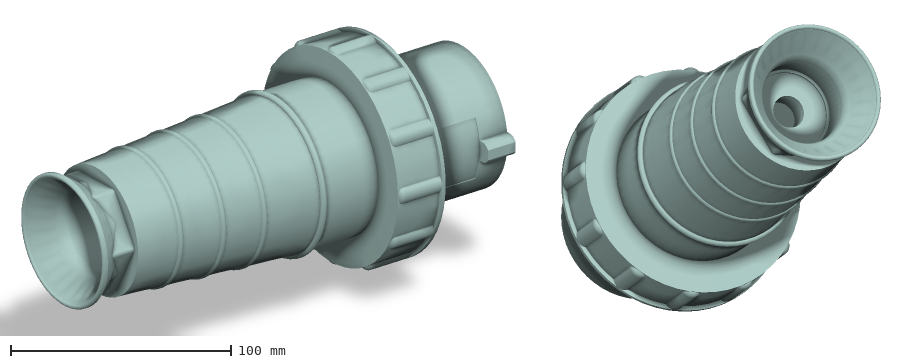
import cadquery as cq
import math


TOTAL_LENGTH = 224.75
HANDLE_START = 19.75
TAPER_END = 119.0
RING_START = 149.75
RING_LENGTH = 26.0
RING_END = RING_START + RING_LENGTH

SLEEVE_RADIUS = 35.0
KEY_LENGTH = 15.5
KEY_TIP_REACH = 41.25
KEY_ROUND_CENTER = 36.9
KEY_ROUND_RADIUS = 5.0
RELIEF_DEPTH = 0.5
RELIEF_HALF_WIDTH = 15.4

RING_RADIUS = 109.0 / 2
RING_BODY_RADIUS = 52.5
RING_FLANGE = 2.0
RIB_COUNT = 12
RIB_RADIUS = 5.0
RING_FACE_RISE = 0.7
RIB_END_GAP = 1.0
RIB_END_FILLET = 2.5

HANDLE_RADIUS = 75.85 / 2
HANDLE_END_RADIUS = 63.0 / 2
BEAD_POSITIONS = (42.75, 65.75, 87.75)
BEAD_HALF_WIDTH = 1.4
BEAD_HEIGHT = 0.75

BAND_SECTION_RADIUS = 1.7
BAND_RADIUS = 38.05

HEX_SIDES = 6
HEX_ACROSS_FLATS = 50.0
HEX_CORNER_FILLET = 2.0
SHANK_RADIUS = 49.0 / 2
SHANK_END = 45.0
HEX_TURN = -2.7
RIM_RADIUS = 64.25 / 2
RIM_LENGTH = 2.4
FLARE_ANGLE = 35.0
FLARE_CONE_TOP = 10.5
LIP_ROUND_RADIUS = 1.1
MOUTH_RADIUS = RIM_RADIUS - 2 * LIP_ROUND_RADIUS
THROAT_CONE_RADIUS = 21.1
THROAT_CONE_END = 13.2

SEAL_START = 32.5
SEAL_RADIUS = 39.3 / 2
SEAL_LIP_RADIUS = 36.6 / 2
SEAL_LIP_LENGTH = 1.0
SEAL_HOLE_RADIUS = 15.0 / 2


def turned(profile):
    """Solid of revolution about Y from a closed (radius, y) profile."""
    return profile.close().revolve(360, (0, 0, 0), (0, 1, 0))


def cylinder(radius, start, end):
    """Cylinder on the Y axis between two axial positions."""
    return cq.Workplane("XZ", origin=(0, start, 0)).circle(radius).extrude(start - end)


def make_sleeve():
    """Round plug sleeve with a rounded, flat-tipped key and a shallow relief behind the key."""
    sleeve = cylinder(SLEEVE_RADIUS, RING_END, TOTAL_LENGTH)
    key_start = TOTAL_LENGTH - KEY_LENGTH
    key_side = cq.Workplane("XY").box(
        SLEEVE_RADIUS, TOTAL_LENGTH, 2 * RELIEF_HALF_WIDTH, centered=(False, False, True)
    )
    relief = (
        cylinder(SLEEVE_RADIUS, RING_END, key_start)
        .cut(cylinder(SLEEVE_RADIUS - RELIEF_DEPTH, RING_END, key_start))
        .intersect(key_side)
    )
    key = (
        cq.Workplane("XY", origin=(0, key_start, 0))
        .box(KEY_ROUND_CENTER, KEY_LENGTH, 2 * KEY_ROUND_RADIUS, centered=(False, False, True))
    )
    key_round = (
        cq.Workplane("XZ", origin=(KEY_ROUND_CENTER, key_start, 0))
        .circle(KEY_ROUND_RADIUS)
        .extrude(-KEY_LENGTH)
    )
    key_limit = (
        cq.Workplane("XY", origin=(0, key_start, 0))
        .box(KEY_TIP_REACH, KEY_LENGTH, 2 * KEY_ROUND_RADIUS, centered=(False, False, True))
    )
    key = key.union(key_round).intersect(key_limit)
    return sleeve.cut(relief).union(key)


def make_ring():
    """Coupling ring: slightly coned face, flange at the sleeve end and grip ribs with rounded ends."""
    ring = turned(
        cq.Workplane("XY")
        .moveTo(HANDLE_RADIUS, RING_START)
        .lineTo(RING_BODY_RADIUS, RING_START + RING_FACE_RISE)
        .lineTo(RING_BODY_RADIUS, RING_END)
        .lineTo(HANDLE_RADIUS, RING_END)
    )
    ring = ring.union(cylinder(RING_RADIUS, RING_END - RING_FLANGE, RING_END))
    rib_start = RING_START + RIB_END_GAP
    rib = (
        cq.Workplane("XZ", origin=(RING_RADIUS - RIB_RADIUS, rib_start, 0))
        .circle(RIB_RADIUS)
        .extrude(rib_start - RING_END)
        .faces("<Y")
        .edges()
        .fillet(RIB_END_FILLET)
    )
    for i in range(RIB_COUNT):
        ring = ring.union(rib.rotate((0, 0, 0), (0, 1, 0), i * 360 / RIB_COUNT))
    return ring.cut(cylinder(HANDLE_RADIUS, RING_START, RING_END))


def taper_radius(y):
    """Radius of the handle taper at an axial position."""
    share = (y - HANDLE_START) / (TAPER_END - HANDLE_START)
    return HANDLE_END_RADIUS + share * (HANDLE_RADIUS - HANDLE_END_RADIUS)


def make_handle():
    """Handle: straight barrel, then a taper with raised round beads."""
    profile = cq.Workplane("XY").moveTo(0, HANDLE_START).lineTo(HANDLE_END_RADIUS, HANDLE_START)
    for y in BEAD_POSITIONS:
        low, high = y - BEAD_HALF_WIDTH, y + BEAD_HALF_WIDTH
        profile = profile.lineTo(taper_radius(low), low).threePointArc(
            (taper_radius(y) + BEAD_HEIGHT, y), (taper_radius(high), high))
    profile = (
        profile.lineTo(HANDLE_RADIUS, TAPER_END)
        .lineTo(HANDLE_RADIUS, RING_END)
        .lineTo(0, RING_END)
    )
    return turned(profile)


def make_band():
    """Round-section band around the handle."""
    return (
        cq.Workplane("XY")
        .center(BAND_RADIUS, TAPER_END)
        .circle(BAND_SECTION_RADIUS)
        .revolve(360, (-BAND_RADIUS, 0, 0), (-BAND_RADIUS, 1, 0))
    )


def make_nut():
    """Hexagonal gland nut with a flared funnel mouth and a shank that enters the handle."""
    hexagon = (
        cq.Workplane("XZ", origin=(0, RIM_LENGTH, 0))
        .polygon(HEX_SIDES, HEX_ACROSS_FLATS / math.cos(math.pi / HEX_SIDES))
        .extrude(RIM_LENGTH - HANDLE_START)
        .edges("|Y")
        .fillet(HEX_CORNER_FILLET)
        .rotate((0, 0, 0), (0, 1, 0), HEX_TURN)
    )
    slope = math.radians(FLARE_ANGLE)
    cone_top_radius = RIM_RADIUS - (FLARE_CONE_TOP - RIM_LENGTH) * math.tan(slope)
    blend_end_radius = HEX_ACROSS_FLATS / 2
    blend_radius = (cone_top_radius - blend_end_radius) / (1 - math.cos(slope))
    blend_end = FLARE_CONE_TOP + blend_radius * math.sin(slope)
    blend_middle = (
        blend_end_radius + blend_radius * (1 - math.cos(slope / 2)),
        blend_end - blend_radius * math.sin(slope / 2),
    )
    throat_rise = math.atan((MOUTH_RADIUS - THROAT_CONE_RADIUS) / (THROAT_CONE_END - LIP_ROUND_RADIUS))
    throat_blend_radius = (THROAT_CONE_RADIUS - SEAL_RADIUS) / (1 - math.cos(throat_rise))
    throat_end = THROAT_CONE_END + throat_blend_radius * math.sin(throat_rise)
    throat_middle = (
        SEAL_RADIUS + throat_blend_radius * (1 - math.cos(throat_rise / 2)),
        throat_end - throat_blend_radius * math.sin(throat_rise / 2),
    )
    flare = turned(
        cq.Workplane("XY")
        .moveTo(0, LIP_ROUND_RADIUS)
        .lineTo(MOUTH_RADIUS, LIP_ROUND_RADIUS)
        .threePointArc((MOUTH_RADIUS + LIP_ROUND_RADIUS, 0), (RIM_RADIUS, LIP_ROUND_RADIUS))
        .lineTo(RIM_RADIUS, RIM_LENGTH)
        .lineTo(cone_top_radius, FLARE_CONE_TOP)
        .threePointArc(blend_middle, (blend_end_radius, blend_end))
        .lineTo(0, blend_end)
    )
    bore = turned(
        cq.Workplane("XY")
        .lineTo(MOUTH_RADIUS, 0)
        .lineTo(MOUTH_RADIUS, LIP_ROUND_RADIUS)
        .lineTo(THROAT_CONE_RADIUS, THROAT_CONE_END)
        .threePointArc(throat_middle, (SEAL_RADIUS, throat_end))
        .lineTo(SEAL_RADIUS, SHANK_END)
        .lineTo(0, SHANK_END)
    )
    shank = cylinder(SHANK_RADIUS, HANDLE_START, SHANK_END)
    return hexagon.union(flare).union(shank).cut(bore)


def make_seal():
    """Cable seal with a raised lip around its face and a cable hole through it."""
    seal = cylinder(SEAL_RADIUS, SEAL_START, SHANK_END)
    seal = seal.cut(cylinder(SEAL_LIP_RADIUS, SEAL_START, SEAL_START + SEAL_LIP_LENGTH))
    return seal.cut(cylinder(SEAL_HOLE_RADIUS, SEAL_START, SHANK_END))


sleeve = make_sleeve()
ring = make_ring()
band = make_band()
handle = make_handle().cut(band).cut(cylinder(SHANK_RADIUS, HANDLE_START, SHANK_END))
nut = make_nut()
seal = make_seal()

result = cq.Compound.makeCompound(
    [sleeve.val(), ring.val(), handle.val(), band.val(), nut.val(), seal.val()]
)